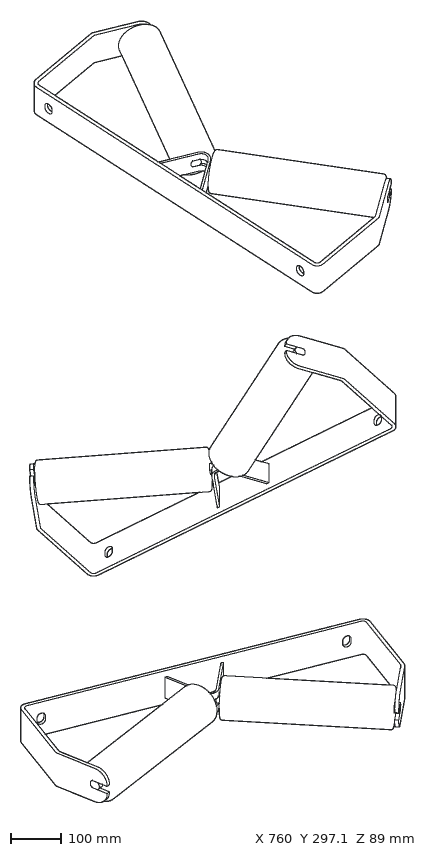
import cadquery as cq
import math

TILT = math.radians(30)

FRAME_WIDTH = 760.0
FRAME_HEIGHT = 80.0
FRAME_THICKNESS = 8.0
CORNER_BEND_RADIUS = 8.0
ARM_BEND_RADIUS = 5.0
UPRIGHT_LENGTH = 184.0
ARM_TIP_REACH = 30.0
ARM_TIP_RADIUS = 30.0

MOUNT_SLOT_SPACING = 666.0
MOUNT_SLOT_LENGTH = 26.0
MOUNT_SLOT_WIDTH = 18.0

BRACKET_FOOT_WIDTH = 128.0
BRACKET_HEIGHT = 50.0
BRACKET_THICKNESS = 5.0
BRACKET_BEND_RADIUS = 14.0

ROLLER_DIAMETER = 89.0
ROLLER_LENGTH = 346.0
ROLLER_GAP = 3.5
ROLLER_EDGE_RADIUS = 5.0
SHAFT_DIAMETER = 22.0
SHAFT_FLATS = 17.0
AXIS_OFFSET = 64.2

ALONG = cq.Vector(math.cos(TILT), -math.sin(TILT), 0)
UP = cq.Vector(math.sin(TILT), math.cos(TILT), 0)

ARM_CORNER = cq.Vector(-FRAME_WIDTH / 2, UPRIGHT_LENGTH, 0)
BRACKET_FOOT = cq.Vector(-BRACKET_FOOT_WIDTH / 2, FRAME_THICKNESS, 0)

ARM_OUTER = ARM_CORNER.dot(ALONG)
ARM_INNER = ARM_OUTER + FRAME_THICKNESS
BRACKET_OUTER = BRACKET_FOOT.dot(ALONG)
BRACKET_INNER = BRACKET_OUTER + BRACKET_THICKNESS
ROLLER_START = ARM_INNER + ROLLER_GAP


def tilted_point(along, up):
    """Point of the left half given by its distances along and up."""
    return ALONG * along + UP * up


def axis_plane(along):
    """Plane square to the left roller axis; local X points down the arm."""
    return cq.Workplane(cq.Plane(tilted_point(along, AXIS_OFFSET), UP * -1, ALONG))


def xy(point):
    """X and Y of a vector, as an outline point."""
    return (point.x, point.y)


def mirrored_outline(left_points):
    """Closed loop from a left half listed from centre plane to centre plane."""
    right_points = [(-x, y) for x, y in reversed(left_points) if x != 0]
    return left_points + right_points


def round_edge(body, point, radius, z=0):
    """Fillet the edge whose middle is at the XY point and height z, and its mirror image."""
    x, y = point
    for side_x in {x, -x}:
        middle = cq.selectors.NearestToPointSelector((side_x, y, z))
        body = body.edges(middle).fillet(radius)
    return body


def plate(outline, height):
    """Upright prism on the outline, centred on Z = 0."""
    return cq.Workplane("XY").polyline(outline).close().extrude(height / 2, both=True)


def both_sides(body):
    """The left-hand body and its mirror image on the right."""
    return [body, body.mirror("YZ")]


def shaft_bar(start, end):
    """Round bar with two flats on the left roller axis."""
    length = end - start
    bar = axis_plane(start).circle(SHAFT_DIAMETER / 2).extrude(length)
    flats = axis_plane(start).rect(SHAFT_DIAMETER, SHAFT_FLATS).extrude(length)
    return bar.intersect(flats)


def shaft_slot(start, end, reach):
    """Open slot: the shaft section carried up the arm by the given reach."""
    opening = axis_plane(start).center(-reach / 2, 0).rect(reach, SHAFT_FLATS).extrude(end - start)
    return shaft_bar(start, end).union(opening)


def make_frame():
    """Bent flat bar with slotted, tilted arms and two mounting slots."""
    tip = AXIS_OFFSET + ARM_TIP_REACH
    outer_tip = tilted_point(ARM_OUTER, tip)
    inner_tip = tilted_point(ARM_INNER, tip)
    half_width = FRAME_WIDTH / 2
    inner_half_width = half_width - FRAME_THICKNESS
    inner_corner_y = UPRIGHT_LENGTH - FRAME_THICKNESS * math.tan(TILT / 2)

    base_outer = (-half_width, 0)
    base_inner = (-inner_half_width, FRAME_THICKNESS)
    arm_outer = xy(ARM_CORNER)
    arm_inner = (-inner_half_width, inner_corner_y)
    left = [base_outer, arm_outer, xy(outer_tip), xy(inner_tip), arm_inner, base_inner]
    frame = plate(mirrored_outline(left), FRAME_HEIGHT)

    bends = (
        (base_outer, base_inner, CORNER_BEND_RADIUS),
        (arm_outer, arm_inner, ARM_BEND_RADIUS),
    )
    for outer, inner, inside_radius in bends:
        frame = round_edge(frame, outer, inside_radius + FRAME_THICKNESS)
        frame = round_edge(frame, inner, inside_radius)

    tip_middle = xy((outer_tip + inner_tip) / 2)
    for z in (-FRAME_HEIGHT / 2, FRAME_HEIGHT / 2):
        frame = round_edge(frame, tip_middle, ARM_TIP_RADIUS, z)

    for slot in both_sides(shaft_slot(ARM_OUTER, ARM_INNER, ARM_TIP_REACH)):
        frame = frame.cut(slot)

    mount_slots = (
        cq.Workplane("XZ")
        .pushPoints([(-MOUNT_SLOT_SPACING / 2, 0), (MOUNT_SLOT_SPACING / 2, 0)])
        .slot2D(MOUNT_SLOT_LENGTH, MOUNT_SLOT_WIDTH, 90)
        .extrude(-FRAME_THICKNESS)
    )
    return frame.cut(mount_slots)


def make_bracket():
    """Peaked strip standing on the frame and carrying the inner shaft ends."""
    leg_rise = 1 / math.tan(TILT)
    outer_peak = (0, BRACKET_FOOT.y - BRACKET_FOOT.x * leg_rise)
    inner_peak = (0, outer_peak[1] - BRACKET_THICKNESS / math.sin(TILT))
    inner_foot = (BRACKET_FOOT.x + BRACKET_THICKNESS / math.cos(TILT), BRACKET_FOOT.y)
    outline = mirrored_outline([inner_peak, inner_foot, xy(BRACKET_FOOT), outer_peak])
    bracket = plate(outline, BRACKET_HEIGHT)
    bracket = round_edge(bracket, outer_peak, BRACKET_BEND_RADIUS + BRACKET_THICKNESS)
    bracket = round_edge(bracket, inner_peak, BRACKET_BEND_RADIUS)

    slot_end = BRACKET_INNER + BRACKET_BEND_RADIUS
    slot_reach = outer_peak[1] - AXIS_OFFSET
    for slot in both_sides(shaft_slot(BRACKET_OUTER, slot_end, slot_reach)):
        bracket = bracket.cut(slot)
    return bracket


def make_roller():
    """Left roller; its shaft ends are flush with the far faces of arm and bracket leg."""
    drum = axis_plane(ROLLER_START).circle(ROLLER_DIAMETER / 2).extrude(ROLLER_LENGTH)
    drum = drum.faces("not %CYLINDER").edges().fillet(ROLLER_EDGE_RADIUS)
    return drum.union(shaft_bar(ARM_OUTER, BRACKET_INNER))


frame = make_frame()
bracket = make_bracket()
rollers = both_sides(make_roller())

result = cq.Compound.makeCompound(
    [frame.val(), bracket.val(), *[roller.val() for roller in rollers]]
)